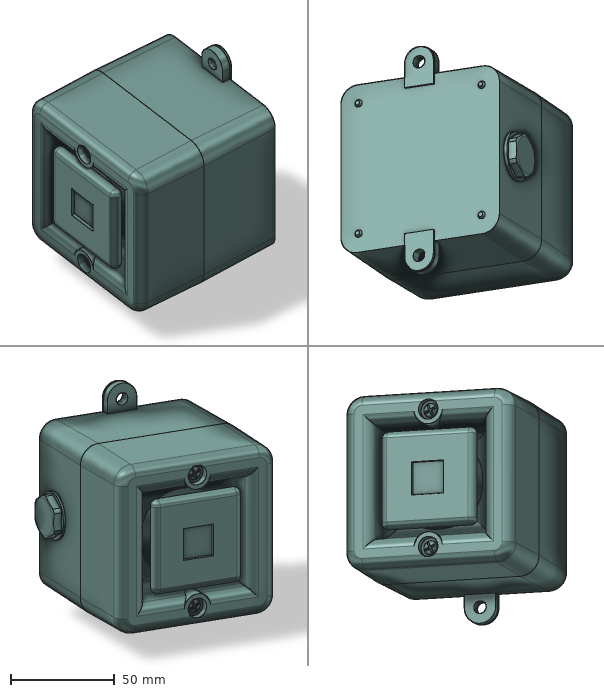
import cadquery as cq
import math


BOX_SIZE = 86.5
BOX_DEPTH = 84.2
PARTING_DEPTH = 45.0
BOX_CORNER_RADIUS = 9.7
DRAFT_ANGLE = 1.0
FRONT_EDGE_RADIUS = 5.1

LUG_TIP_Z = 57.1
LUG_WIDTH = 16.1
LUG_CENTRE_Z = LUG_TIP_Z - LUG_WIDTH / 2
LUG_THICKNESS = 4.5
LUG_HOLE_DIAMETER = 6.2
PAD_HEIGHT = 1.3
PAD_INSET = 0.3
PAD_INNER_Z = 37.0
FOOT_SPACING = 66.0
FOOT_BASE_DIAMETER = 3.8
FOOT_TOP_DIAMETER = 2.3

OPENING_SIZE = 66.0
LIP_RADIUS = 5.2
WALL_DRAFT_ANGLE = 12.0
WALL_RUN = 1.5
FLOOR_RADIUS = 6.5

SCREW_OFFSET = 33.7
BOSS_DIAMETER = 14.4
RECESS_DIAMETER = 9.8
RECESS_DEPTH = 3.9
SCREW_HEAD_DIAMETER = 6.8
SCREW_HEAD_HEIGHT = 1.4
SCREW_RIM_HEIGHT = 0.3
CROSS_LENGTH = 5.2
CROSS_WIDTH = 0.9
CROSS_DEPTH = 0.9
CROSS_ANGLE = 27.0

PLATE_SIZE = 47.9
PLATE_EDGE_RADIUS = 3.3
PLATE_THICKNESS = 2 * PLATE_EDGE_RADIUS
PLATE_PROTRUSION = 1.1
WINDOW_SIZE = 16.1
WINDOW_DEPTH = 1.7

CORE_NECK_DIAMETER = 36.1
CORE_FLARE_LENGTH = 5.7
CORE_FLARE_ANGLE = 40.0
CORE_NECK_ANGLE = 12.0

PLUG_CENTRE_Y = -16.8
WASHER_DIAMETER = 24.0
WASHER_SEAT_X = -42.3
WASHER_OUTER_X = -44.2
PLUG_END_X = -48.6
HEX_FLATS = 20.0
HEX_CORNER_DIAMETER = 21.8
PLUG_FACE_DIAMETER = 18.5
PLUG_CHAMFER_LENGTH = 0.5

FRONT_Y = -BOX_DEPTH
PLATE_FRONT_Y = FRONT_Y - PLATE_PROTRUSION
PLATE_BACK_Y = PLATE_FRONT_Y + PLATE_THICKNESS

WALL_SLOPE = math.radians(90 - WALL_DRAFT_ANGLE)
LIP_RUN = LIP_RADIUS * math.sin(WALL_SLOPE)
LIP_DEPTH = LIP_RADIUS * (1 - math.cos(WALL_SLOPE))
WALL_DEPTH = WALL_RUN * math.tan(WALL_SLOPE)
FLOOR_RUN = FLOOR_RADIUS * math.sin(WALL_SLOPE)
FLOOR_CURVE_DEPTH = FLOOR_RADIUS * (1 - math.cos(WALL_SLOPE))
FLOOR_Y = FRONT_Y + LIP_DEPTH + WALL_DEPTH + FLOOR_CURVE_DEPTH


def plane_facing_front(y):
    """Plane at the given y whose normal is -Y, with X to the right and Z up."""
    return cq.Workplane(cq.Plane(origin=(0, y, 0), xDir=(1, 0, 0), normal=(0, -1, 0)))


def plane_facing_back(y):
    """Plane at the given y whose normal is +Y, with -X to the right and Z up."""
    return cq.Workplane(cq.Plane(origin=(0, y, 0), xDir=(-1, 0, 0), normal=(0, 1, 0)))


def plane_facing_left(x):
    """Plane through the plug axis whose normal is -X, with -Y to the right and Z up."""
    return cq.Workplane(cq.Plane(origin=(x, PLUG_CENTRE_Y, 0), xDir=(0, -1, 0), normal=(-1, 0, 0)))


def box_outline():
    return cq.Sketch().rect(BOX_SIZE, BOX_SIZE).vertices().fillet(BOX_CORNER_RADIUS)


def lug_outline(half_width, inner_z):
    """Outline of one upper lug, square at inner_z and round at the top."""
    return (
        cq.Sketch()
        .segment((-half_width, inner_z), (half_width, inner_z))
        .segment((half_width, LUG_CENTRE_Z))
        .arc((0, LUG_CENTRE_Z + half_width), (-half_width, LUG_CENTRE_Z))
        .close()
        .assemble()
    )


def make_lug():
    """Upper mounting lug with its thinner pad behind the back face."""
    lug = plane_facing_front(0).placeSketch(lug_outline(LUG_WIDTH / 2, PAD_INNER_Z))
    lug = lug.extrude(LUG_THICKNESS, taper=DRAFT_ANGLE)
    pad_outline = lug_outline(LUG_WIDTH / 2 - PAD_INSET, PAD_INNER_Z)
    pad = plane_facing_back(0).placeSketch(pad_outline).extrude(PAD_HEIGHT)
    hole = plane_facing_back(-LUG_THICKNESS).center(0, LUG_CENTRE_Z).circle(LUG_HOLE_DIAMETER / 2)
    return lug.union(pad).cut(hole.extrude(LUG_THICKNESS + PAD_HEIGHT))


def make_feet():
    foot_draft = math.degrees(math.atan((FOOT_BASE_DIAMETER - FOOT_TOP_DIAMETER) / 2 / PAD_HEIGHT))
    corners = plane_facing_back(0).rect(FOOT_SPACING, FOOT_SPACING, forConstruction=True).vertices()
    return corners.circle(FOOT_BASE_DIAMETER / 2).extrude(PAD_HEIGHT, taper=foot_draft)


def make_housing():
    housing = plane_facing_back(-PARTING_DEPTH).placeSketch(box_outline())
    housing = housing.extrude(PARTING_DEPTH, taper=DRAFT_ANGLE)
    upper_lug = make_lug()
    housing = housing.union(upper_lug).union(upper_lug.mirror("XY")).union(make_feet())
    washer_seat = plane_facing_left(WASHER_SEAT_X).circle(WASHER_DIAMETER / 2).extrude(BOX_SIZE)
    return housing.cut(washer_seat)


def opening_sector():
    """Opening section swept straight up the X side and cut to the diagonals of the square."""
    lip_x = OPENING_SIZE / 2
    wall_x = lip_x - LIP_RUN
    foot_x = wall_x - WALL_RUN
    half_slope = WALL_SLOPE / 2
    wall_y = FRONT_Y + LIP_DEPTH
    foot_y = wall_y + WALL_DEPTH
    lip_middle = (
        lip_x - LIP_RADIUS * math.sin(half_slope),
        FRONT_Y + LIP_RADIUS * (1 - math.cos(half_slope)),
    )
    floor_middle = (
        foot_x - FLOOR_RUN + FLOOR_RADIUS * math.sin(half_slope),
        FLOOR_Y - FLOOR_RADIUS * (1 - math.cos(half_slope)),
    )
    section = (
        cq.Workplane("XY")
        .moveTo(0, FRONT_Y)
        .lineTo(lip_x, FRONT_Y)
        .threePointArc(lip_middle, (wall_x, wall_y))
        .lineTo(foot_x, foot_y)
        .threePointArc(floor_middle, (foot_x - FLOOR_RUN, FLOOR_Y))
        .lineTo(0, FLOOR_Y)
        .close()
        .extrude(lip_x, both=True)
    )
    wedge = plane_facing_back(FRONT_Y).polyline([(0, 0), (-lip_x, lip_x), (-lip_x, -lip_x)]).close()
    return section.intersect(wedge.extrude(BOX_DEPTH))


def make_opening():
    sector = opening_sector()
    opening = sector
    for quarter in range(1, 4):
        opening = opening.union(sector.rotate((0, 0, 0), (0, 1, 0), 90 * quarter))
    bosses = plane_facing_front(FLOOR_Y).pushPoints([(0, SCREW_OFFSET), (0, -SCREW_OFFSET)])
    return opening.cut(bosses.circle(BOSS_DIAMETER / 2).extrude(BOX_DEPTH))


def make_cover():
    cover = plane_facing_front(-PARTING_DEPTH).placeSketch(box_outline())
    cover = cover.extrude(BOX_DEPTH - PARTING_DEPTH, taper=DRAFT_ANGLE)
    cover = cover.faces("<Y").edges().fillet(FRONT_EDGE_RADIUS)
    recesses = plane_facing_front(FRONT_Y + RECESS_DEPTH).pushPoints([(0, SCREW_OFFSET), (0, -SCREW_OFFSET)])
    return cover.cut(make_opening()).cut(recesses.circle(RECESS_DIAMETER / 2).extrude(RECESS_DEPTH))


def make_screw(z):
    """Domed screw head with a cross slot, seated on the floor of the recess at height z."""
    radius = SCREW_HEAD_DIAMETER / 2
    dome_height = SCREW_HEAD_HEIGHT - SCREW_RIM_HEIGHT
    dome_radius = (radius**2 + dome_height**2) / (2 * dome_height)
    seat = plane_facing_front(FRONT_Y + RECESS_DEPTH).center(0, z)
    head = seat.circle(radius).extrude(SCREW_HEAD_HEIGHT)
    dome = cq.Workplane("XY").sphere(dome_radius)
    dome = dome.translate((0, FRONT_Y + RECESS_DEPTH - SCREW_HEAD_HEIGHT + dome_radius, z))
    slots = (
        seat.workplane(offset=SCREW_HEAD_HEIGHT - CROSS_DEPTH)
        .transformed(rotate=(0, 0, CROSS_ANGLE))
        .sketch()
        .rect(CROSS_LENGTH, CROSS_WIDTH)
        .rect(CROSS_WIDTH, CROSS_LENGTH)
        .finalize()
        .extrude(CROSS_DEPTH)
    )
    return head.intersect(dome).cut(slots)


def make_plate():
    """Square deflector plate with half-round edges, round corners and a shallow square window."""
    flat_size = PLATE_SIZE - 2 * PLATE_EDGE_RADIUS
    plate = plane_facing_back(PLATE_FRONT_Y).rect(flat_size, flat_size).extrude(PLATE_THICKNESS)
    edge = cq.Workplane("XY").circle(PLATE_EDGE_RADIUS).extrude(flat_size / 2, both=True)
    edge = edge.translate((flat_size / 2, PLATE_FRONT_Y + PLATE_EDGE_RADIUS, 0))
    corner = cq.Workplane("XY").sphere(PLATE_EDGE_RADIUS)
    corner = corner.translate((flat_size / 2, PLATE_FRONT_Y + PLATE_EDGE_RADIUS, flat_size / 2))
    for quarter in range(4):
        plate = plate.union(edge.union(corner).rotate((0, 0, 0), (0, 1, 0), 90 * quarter))
    window = plane_facing_back(PLATE_FRONT_Y).rect(WINDOW_SIZE, WINDOW_SIZE)
    return plate.cut(window.extrude(WINDOW_DEPTH, taper=DRAFT_ANGLE))


def make_core():
    """Round core behind the plate, with a slightly tapered neck and a flare that meets the cover."""
    shoulder_y = FLOOR_Y - CORE_FLARE_LENGTH
    neck_radius = CORE_NECK_DIAMETER / 2
    tip_radius = neck_radius - (shoulder_y - PLATE_BACK_Y) * math.tan(math.radians(CORE_NECK_ANGLE))
    base_radius = neck_radius + CORE_FLARE_LENGTH * math.tan(math.radians(CORE_FLARE_ANGLE))
    half_section = [
        (0, FLOOR_Y),
        (base_radius, FLOOR_Y),
        (neck_radius, shoulder_y),
        (tip_radius, PLATE_BACK_Y),
        (0, PLATE_BACK_Y),
    ]
    core = cq.Workplane("XY").polyline(half_section).close().revolve(360, (0, 0, 0), (0, 1, 0))
    return core.intersect(make_opening())


def make_washer():
    washer_thickness = WASHER_SEAT_X - WASHER_OUTER_X
    return plane_facing_left(WASHER_SEAT_X).circle(WASHER_DIAMETER / 2).extrude(washer_thickness)


def make_plug():
    """Hexagon plug head with corners on +Z and -Z, turned down at the corners and the outer face."""
    length = WASHER_OUTER_X - PLUG_END_X
    base = plane_facing_left(WASHER_OUTER_X)
    hexagon = base.polygon(6, HEX_FLATS, circumscribed=True).extrude(length)
    turned = base.circle(HEX_CORNER_DIAMETER / 2).extrude(length)
    bevel = (HEX_CORNER_DIAMETER - PLUG_FACE_DIAMETER) / 2
    turned = turned.faces("<X").chamfer(PLUG_CHAMFER_LENGTH, bevel)
    return hexagon.intersect(turned)


housing = make_housing()
cover = make_cover()
screws = [make_screw(z) for z in (SCREW_OFFSET, -SCREW_OFFSET)]
plate = make_plate()
core = make_core()
washer = make_washer()
plug = make_plug()

result = cq.Compound.makeCompound(
    [
        housing.val(),
        cover.val(),
        *[screw.val() for screw in screws],
        plate.val(),
        core.val(),
        washer.val(),
        plug.val(),
    ]
)